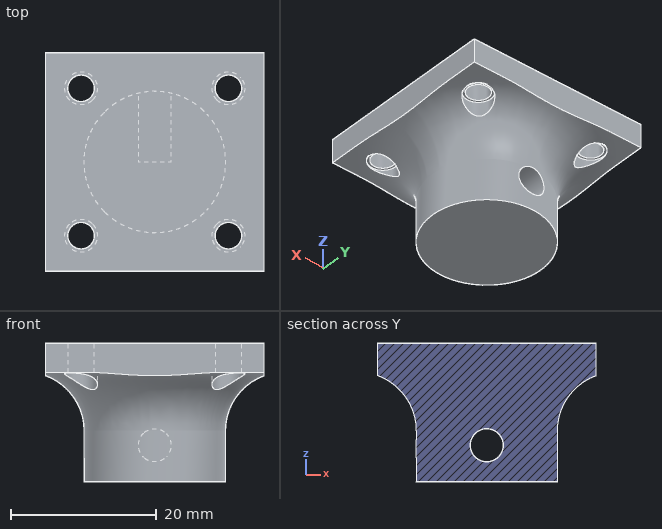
import cadquery as cq
import math

plate_side = 30.0
plate_thickness = 4.0
total_height = 19.0
neck_diameter = 19.4
neck_straight_height = 7.0
bolt_hole_diameter = 3.6
bolt_head_diameter = 4.5
bolt_hole_spacing = 20.2
side_hole_diameter = 4.5
side_hole_height = 5.0

plate_bottom = total_height - plate_thickness
neck_radius = neck_diameter / 2
flare_radius = plate_bottom - neck_straight_height
flare_outer_radius = neck_radius + flare_radius


def square_block(bottom, height):
    """Square block with the outline of the plate."""
    return (
        cq.Workplane("XY")
        .workplane(offset=bottom)
        .rect(plate_side, plate_side)
        .extrude(height)
    )


def flared_neck():
    """Round neck that flares out in a concave quarter arc, trimmed to the plate outline."""
    diagonal_reach = flare_radius * math.cos(math.radians(45))
    arc_middle = (flare_outer_radius - diagonal_reach, neck_straight_height + diagonal_reach)
    solid_of_revolution = (
        cq.Workplane("XZ")
        .moveTo(0, 0)
        .lineTo(neck_radius, 0)
        .lineTo(neck_radius, neck_straight_height)
        .threePointArc(arc_middle, (flare_outer_radius, plate_bottom))
        .lineTo(0, plate_bottom)
        .close()
        .revolve(360, (0, 0), (0, 1))
    )
    return solid_of_revolution.intersect(square_block(0, plate_bottom))


def corner_cutters(diameter, height):
    """Four vertical cylinders near the plate corners, rising from the base of the neck."""
    return (
        cq.Workplane("XY")
        .rect(bolt_hole_spacing, bolt_hole_spacing, forConstruction=True)
        .vertices()
        .circle(diameter / 2)
        .extrude(height)
    )


def side_hole():
    """Radial cutter from the neck axis out through its +Y side."""
    return (
        cq.Workplane("XZ")
        .center(0, side_hole_height)
        .circle(side_hole_diameter / 2)
        .extrude(-plate_side / 2)
    )


plate = square_block(plate_bottom, plate_thickness)
bolt_holes = corner_cutters(bolt_hole_diameter, total_height)
bolt_head_clearance = corner_cutters(bolt_head_diameter, plate_bottom)

result = (
    plate.union(flared_neck())
    .cut(bolt_holes)
    .cut(bolt_head_clearance)
    .cut(side_hole())
)